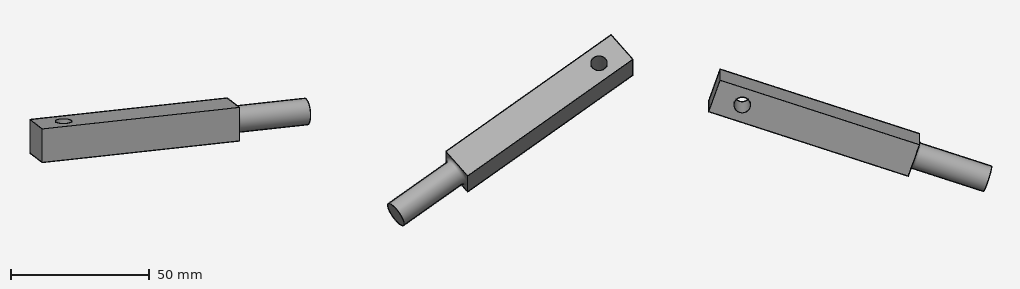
import cadquery as cq

total_length = 104.1
body_width = 12.7
body_length = 76.1

shank_diameter = 9.7
root_fillet = 1.2

hole_diameter = 5.9
hole_from_front = 10.6

front_y = -total_length / 2
shoulder_y = front_y + body_length
shank_length = total_length - body_length


def make_body():
    """Square bar running from the front end to the shoulder."""
    return cq.Workplane("XY").box(body_width, body_length, body_width).translate(
        (0, front_y + body_length / 2, 0)
    )


def make_shank():
    """Round shank, revolved about Y, flaring into the shoulder."""
    radius = shank_diameter / 2
    return (
        cq.Workplane("XY")
        .moveTo(0, shoulder_y)
        .lineTo(radius + root_fillet, shoulder_y)
        .radiusArc((radius, shoulder_y + root_fillet), root_fillet)
        .lineTo(radius, shoulder_y + shank_length)
        .lineTo(0, shoulder_y + shank_length)
        .close()
        .revolve(360, (0, 0, 0), (0, 1, 0))
    )


def make_cross_hole():
    """Cutter passing through the full height of the bar."""
    return (
        cq.Workplane("XY")
        .center(0, front_y + hole_from_front)
        .circle(hole_diameter / 2)
        .extrude(body_width, both=True)
    )


result = make_body().union(make_shank()).cut(make_cross_hole())